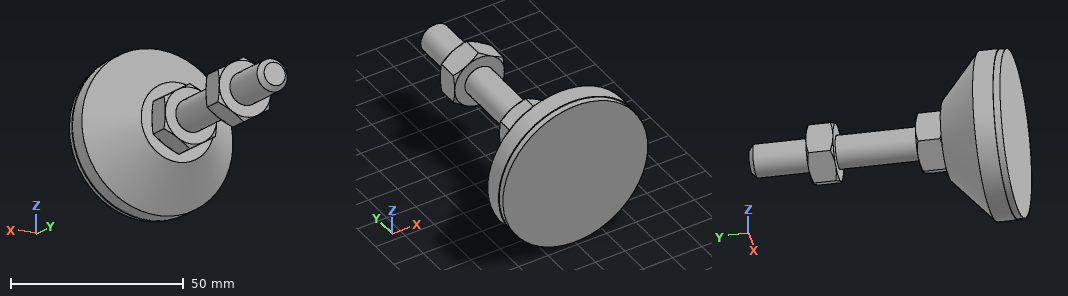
import cadquery as cq
import math

overall_length = 78.0
sole_y = -overall_length / 2

foot_diameter = 50.0
pad_diameter = 49.5
pad_thickness = 2.0
rim_height = 6.0
cone_height = 12.0
cone_top_diameter = 24.0
rim_top = pad_thickness + rim_height
foot_height = rim_top + cone_height

stud_diameter = 10.0
stud_chamfer = 1.5

hexagon_sides = 6
hexagon_half_angle = 180.0 / hexagon_sides
nut_across_flats = 17.0
nut_thickness = 8.0
nut_face_diameter = nut_across_flats
nut_chamfer_angle = 30.0
nut_across_corners = nut_across_flats / math.cos(math.radians(hexagon_half_angle))
lower_nut_height = foot_height
upper_nut_height = 52.25


def revolve_profile(points):
    """Solid of revolution about Y from (radius, height above the sole) points."""
    return (
        cq.Workplane("XY", origin=(0, sole_y, 0))
        .polyline(points)
        .close()
        .revolve(360, (0, 0), (0, 1))
    )


def make_foot():
    """Soft pad, cylindrical rim and cone tapering up to the lower nut."""
    return revolve_profile([
        (0, 0),
        (pad_diameter / 2, 0),
        (pad_diameter / 2, pad_thickness),
        (foot_diameter / 2, pad_thickness),
        (foot_diameter / 2, rim_top),
        (cone_top_diameter / 2, foot_height),
        (0, foot_height),
    ])


def make_stud():
    """Plain stud from the middle of the foot to the chamfered free end."""
    radius = stud_diameter / 2
    return revolve_profile([
        (0, rim_top),
        (radius, rim_top),
        (radius, overall_length - stud_chamfer),
        (radius - stud_chamfer, overall_length),
        (0, overall_length),
    ])


def make_nut(height):
    """Hexagon nut whose corners are turned to a cone at both faces."""
    face_radius = nut_face_diameter / 2
    corner_radius = nut_across_corners / 2
    chamfer_height = (corner_radius - face_radius) * math.tan(math.radians(nut_chamfer_angle))
    top = height + nut_thickness

    hexagon = (
        cq.Workplane("XZ", origin=(0, sole_y + height, 0))
        .polygon(hexagon_sides, nut_across_corners)
        .extrude(-nut_thickness)
        .rotate((0, 0, 0), (0, 1, 0), hexagon_half_angle)
    )
    turned_blank = revolve_profile([
        (0, height),
        (face_radius, height),
        (corner_radius, height + chamfer_height),
        (corner_radius, top - chamfer_height),
        (face_radius, top),
        (0, top),
    ])
    return hexagon.intersect(turned_blank)


result = make_foot().union(make_stud())
for nut_height in (lower_nut_height, upper_nut_height):
    result = result.union(make_nut(nut_height))